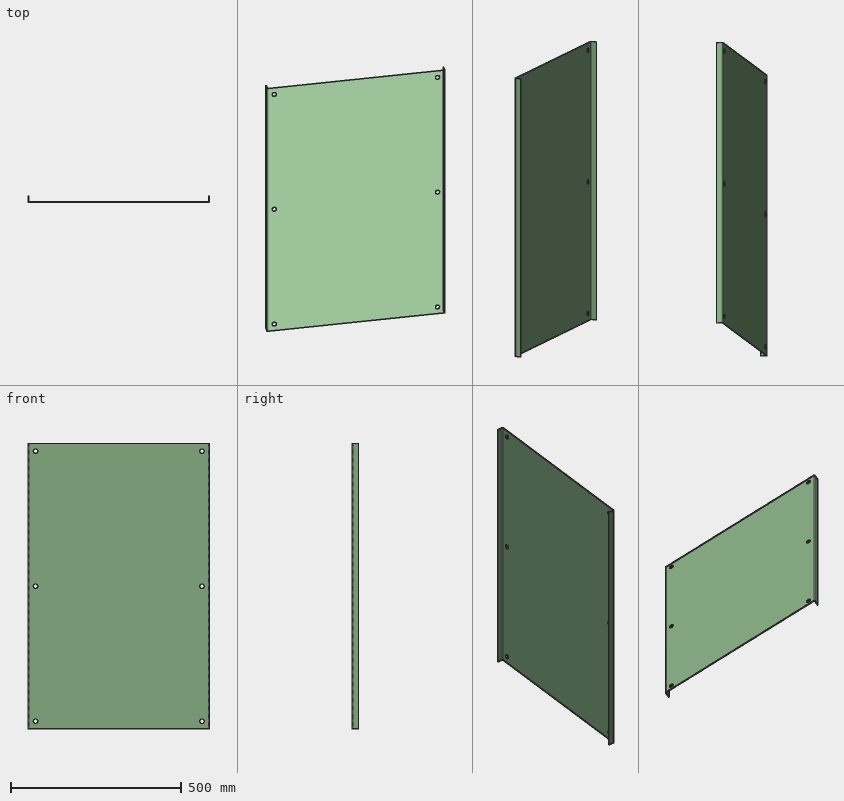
import cadquery as cq

width = 533.0
depth = 19.0
height = 838.0

thickness = 2.5
inner_radius = 0.5
outer_radius = inner_radius + thickness

hole_diameter = 12.5
hole_column_spacing = 489.0
hole_row_spacing = 396.5


def solid_block(block_width, front_y, radius):
    """Full-height block with its two front vertical edges rounded."""
    return (
        cq.Workplane("XY")
        .box(block_width, depth, height, centered=(True, False, True))
        .edges("|Z").edges("<Y")
        .fillet(radius)
        .translate((0, front_y, 0))
    )


def bent_sheet():
    """Front panel with a rearward flange along each side."""
    outside = solid_block(width, 0, outer_radius)
    inside = solid_block(width - 2 * thickness, thickness, inner_radius)
    return outside.cut(inside)


def mounting_holes():
    """Cutters for the mounting holes, running through the panel along Y."""
    return (
        cq.Workplane("XZ")
        .rarray(hole_column_spacing, hole_row_spacing, 2, 3)
        .circle(hole_diameter / 2)
        .extrude(depth, both=True)
    )


result = bent_sheet().cut(mounting_holes())